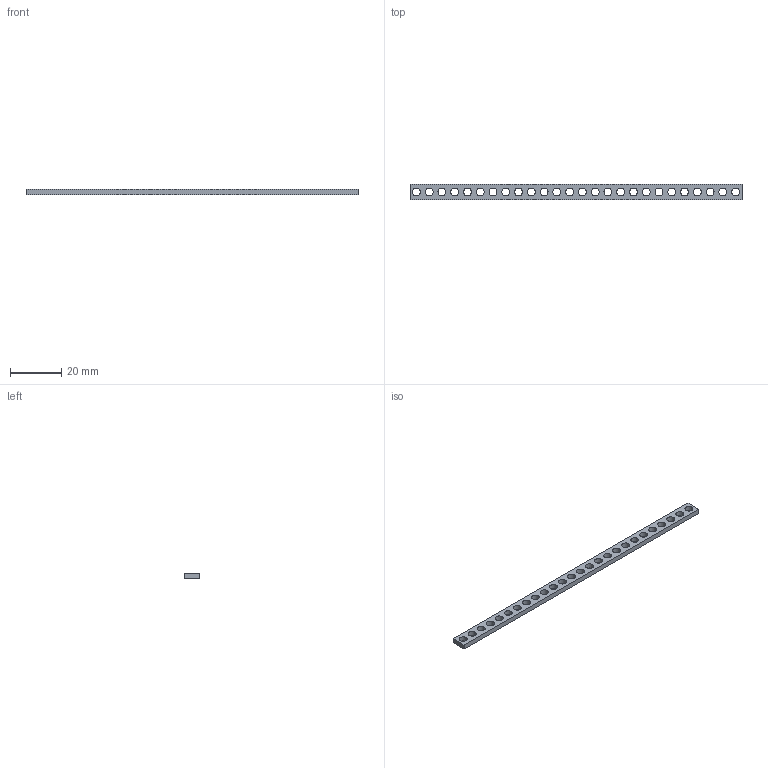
import cadquery as cq

hole_count = 26
hole_pitch = 5.0
hole_diameter = 3.1
strip_width = 6.0
strip_thickness = 2.0

strip_length = hole_count * hole_pitch


def make_strip():
    """Plain rectangular bar resting on the XY plane."""
    return cq.Workplane("XY").box(
        strip_length, strip_width, strip_thickness, centered=(True, True, False)
    )


def drill_hole_row(strip):
    """Evenly spaced through holes along the length of the strip."""
    return (
        strip.faces(">Z")
        .workplane()
        .rarray(hole_pitch, strip_width, hole_count, 1)
        .hole(hole_diameter)
    )


result = drill_hole_row(make_strip())